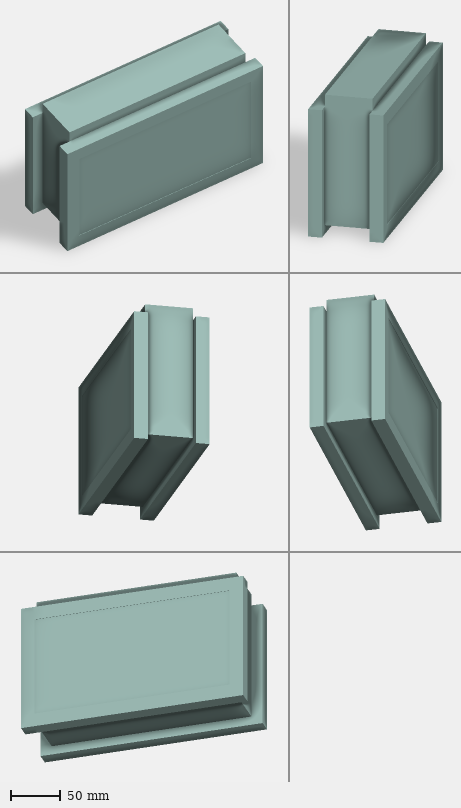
import cadquery as cq

plate_thickness = 14.5
plate_length = 236.8
plate_height = 136.6
block_width = 50.0
block_length = 213.0
block_bottom = 9.5
block_top = 149.5
panel_border = 14.5
panel_recess = 0.5

half_width = block_width / 2 + plate_thickness


def upright_box(width, length, bottom, top):
    """Box centred on X and Y that spans the given heights."""
    return (
        cq.Workplane("XY")
        .box(width, length, top - bottom, centered=(True, True, False))
        .translate((0, 0, bottom))
    )


def side_plate(side):
    """Plate on the -X (side = -1) or +X (side = 1) face, with a shallow panel recess outside."""
    plate = upright_box(plate_thickness, plate_length, 0, plate_height)
    plate = plate.translate((side * (block_width + plate_thickness) / 2, 0, 0))
    panel = upright_box(
        2 * panel_recess,
        plate_length - 2 * panel_border,
        panel_border,
        plate_height - panel_border,
    )
    return plate.cut(panel.translate((side * half_width, 0, 0)))


result = upright_box(block_width, block_length, block_bottom, block_top)
for side in (-1, 1):
    result = result.union(side_plate(side))